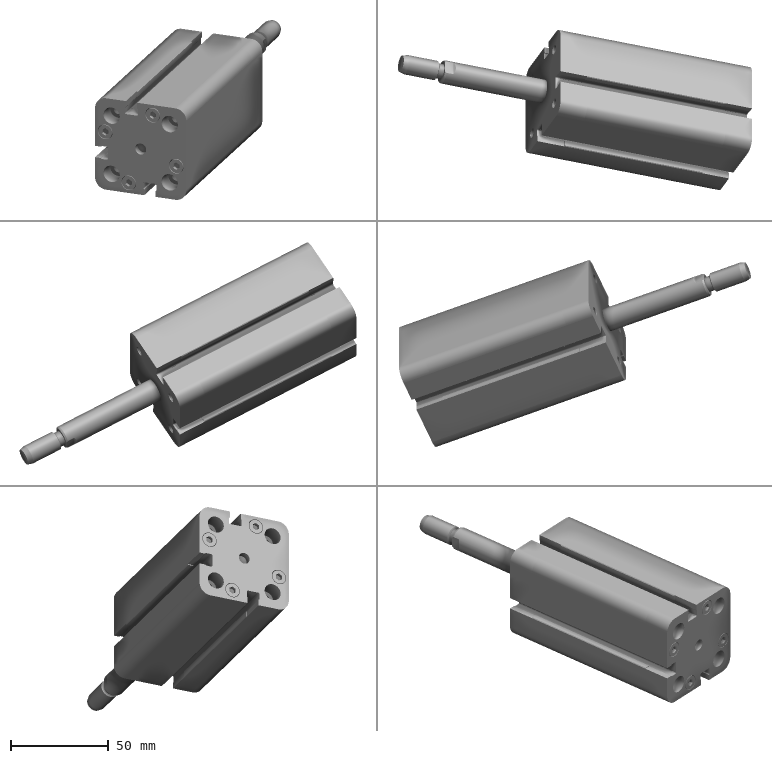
import cadquery as cq


total_length = 182.5
body_length = 104.8
cap_length = 14.6
barrel_length = body_length - 2 * cap_length
front_y = -total_length / 2
rod_start_y = front_y + body_length

side = 50.2
half_side = side / 2
corner_radius = 6.0

slot_stagger = 10.0
slot_offset = slot_stagger / 2
cap_mouth_width = 6.2
barrel_mouth_width = 5.5
slot_mouth_depth = 3.1
slot_pocket_width = 7.1
slot_depth = 7.1
slot_fillet = 0.7
slot_angles = (0, 90, 180)

mount_spacing = 32.0
mount_offset = mount_spacing / 2
mount_hole_diameter = 5.0
counterbore_diameter = 9.0
counterbore_depth = 9.1

screw_along = 6.5
screw_out = 19.5
screw_recess_diameter = 8.0
screw_head_diameter = 7.5
screw_head_height = 4.0
hex_across_corners = 4.0
hex_depth = 2.0
screw_points = [
    (screw_along, screw_out),
    (-screw_out, screw_along),
    (-screw_along, -screw_out),
    (screw_out, -screw_along),
]

centre_hole_diameter = 6.0
centre_hole_depth = 3.6

rod_diameter = 12.0
rod_end_diameter = 11.3
thread_diameter = 10.0
tip_diameter = 8.5
neck_diameter = 7.8
tip_chamfer_length = 2.7
thread_end = 19.0
undercut_length = 0.5
shoulder = 22.3
rod_end_length = 1.0
flat_length = 4.5
across_flats = 10.0


def on_section(y):
    """Workplane across the cylinder at height y, local axes along X and Z."""
    return cq.Workplane("XZ", origin=(0, y, 0))


def prism(sketch, length):
    """Extrude an XZ sketch towards +Y."""
    return sketch.extrude(-length)


def turn(solid, angle):
    """Rotate about the cylinder axis, counter-clockwise as seen from -Y."""
    return solid.rotate((0, 0, 0), (0, -1, 0), angle)


def slot(y, length, mouth_width):
    """T-slot cutter in the top face; a mouth narrower than in the caps gets chamfered edges."""
    bottom_z = half_side - slot_depth
    pocket_height = slot_depth - slot_mouth_depth
    chamfer = (cap_mouth_width - mouth_width) / 2
    mouth = prism(
        on_section(y).center(-slot_offset, half_side - slot_depth / 2).rect(mouth_width, slot_depth),
        length,
    )
    pocket = prism(
        on_section(y).center(-slot_offset, bottom_z + pocket_height / 2)
        .rect(slot_pocket_width, pocket_height),
        length,
    ).edges("|Y").fillet(slot_fillet)
    cutter = mouth.union(pocket)
    if chamfer > 0:
        outline = [
            (-slot_offset - cap_mouth_width / 2, half_side),
            (-slot_offset + cap_mouth_width / 2, half_side),
            (-slot_offset + mouth_width / 2, half_side - chamfer),
            (-slot_offset - mouth_width / 2, half_side - chamfer),
        ]
        cutter = cutter.union(prism(on_section(y).polyline(outline).close(), length))
    return cutter


def section(y, length, mouth_width):
    """Length of rounded square bar with its three slots."""
    bar = prism(on_section(y).rect(side, side), length).edges("|Y").fillet(corner_radius)
    for angle in slot_angles:
        bar = bar.cut(turn(slot(y, length, mouth_width), angle))
    return bar


def screw_gap(x, z):
    """Clearance ring around a screw head together with its hex socket."""
    start = on_section(front_y).center(x, z)
    ring = prism(start.circle(screw_recess_diameter / 2).circle(screw_head_diameter / 2), screw_head_height)
    hexagon = cq.Workplane("XZ", origin=(x, front_y, z)).transformed(rotate=(0, 0, 90))
    socket = prism(hexagon.polygon(6, hex_across_corners), hex_depth)
    return ring.union(socket)


def rod():
    """Turned rod with threaded end, undercut neck and two wrench flats."""
    tip_y = total_length / 2
    shoulder_y = tip_y - shoulder
    rod_end_y = shoulder_y - rod_end_length
    profile = [
        (0, rod_start_y),
        (rod_diameter / 2, rod_start_y),
        (rod_diameter / 2, rod_end_y),
        (rod_end_diameter / 2, shoulder_y),
        (neck_diameter / 2, shoulder_y),
        (neck_diameter / 2, tip_y - thread_end - undercut_length),
        (thread_diameter / 2, tip_y - thread_end),
        (thread_diameter / 2, tip_y - tip_chamfer_length),
        (tip_diameter / 2, tip_y),
        (0, tip_y),
    ]
    turned = cq.Workplane("XY").polyline(profile).close().revolve(360, (0, 0), (0, 1))

    flat_x = across_flats / 2
    outer_x = rod_diameter
    flat_end_y = shoulder_y - flat_length
    flat_outline = [
        (flat_x, shoulder_y),
        (flat_x, flat_end_y),
        (outer_x, flat_end_y - (outer_x - flat_x)),
        (outer_x, shoulder_y),
    ]
    flat_cut = cq.Workplane("XY").polyline(flat_outline).close().extrude(rod_diameter, both=True)
    return turned.cut(flat_cut).cut(flat_cut.mirror("YZ"))


front_cap = section(front_y, cap_length, cap_mouth_width)
barrel = section(front_y + cap_length, barrel_length, barrel_mouth_width)
rear_cap = section(rod_start_y - cap_length, cap_length, cap_mouth_width)
result = front_cap
for piece in (barrel, rear_cap, rod()):
    result = result.union(piece, clean=False)

mount_points = [(x, z) for x in (-mount_offset, mount_offset) for z in (-mount_offset, mount_offset)]
mount_holes = prism(
    on_section(front_y).pushPoints(mount_points).circle(mount_hole_diameter / 2), body_length
)
counterbores = prism(
    on_section(front_y).pushPoints(mount_points).circle(counterbore_diameter / 2), counterbore_depth
)
result = result.cut(mount_holes, clean=False).cut(counterbores, clean=False)

centre_hole = prism(on_section(front_y).circle(centre_hole_diameter / 2), centre_hole_depth)
result = result.cut(centre_hole, clean=False)

for x, z in screw_points:
    result = result.cut(screw_gap(x, z), clean=False)